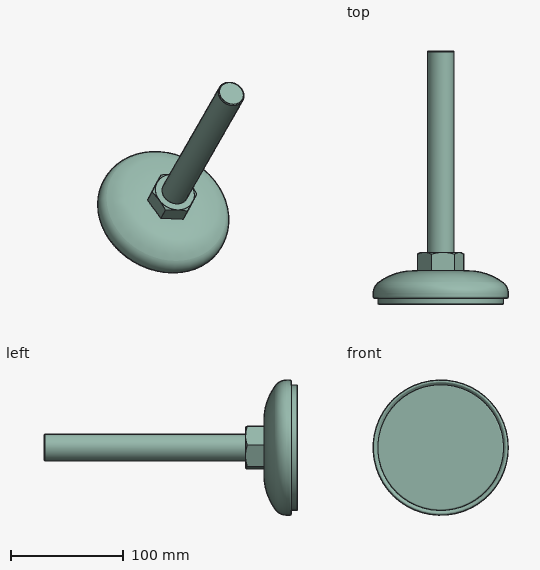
import cadquery as cq
import math


TOTAL_LENGTH = 225.0

PAD_RADIUS = 55.8
PAD_EDGE_FILLET = 1.1

BASE_RADIUS = 60.0
BASE_TOP = 30.0
RIM_TOP = 10.0
CROWN_FLAT_RADIUS = 24.0
CROWN_RADIUS = 52.0
LIP_BOTTOM = 5.5
LIP_RADIUS = 1.5
LIP_INNER_RADIUS = 57.5
LIP_CONE_ANGLE = 45.0

STUD_RADIUS = 12.0
STUD_TIP_CHAMFER = 1.0
HEX_ACROSS_FLATS = 36.0
HEX_HEIGHT = 16.2
HEX_TURN = 6.5
HEX_CHAMFER_ANGLE = 30.0

LIP_CENTER = (BASE_RADIUS - LIP_RADIUS, LIP_BOTTOM + LIP_RADIUS)
LIP_INNER_HEIGHT = LIP_CENTER[1] - math.sqrt(LIP_RADIUS**2 - (LIP_CENTER[0] - LIP_INNER_RADIUS) ** 2)
LIP_CONE_RISE = (LIP_INNER_RADIUS - PAD_RADIUS) * math.tan(math.radians(LIP_CONE_ANGLE))
PAD_THICKNESS = LIP_INNER_HEIGHT + LIP_CONE_RISE


def make_pad():
    disc = cq.Workplane("XZ").circle(PAD_RADIUS).extrude(-PAD_THICKNESS)
    return disc.faces("<Y").edges().fillet(PAD_EDGE_FILLET)


def point_on_arc(center, radius, angle):
    """Point of an arc, with the angle in radians from the radial direction."""
    return (center[0] + radius * math.cos(angle), center[1] + radius * math.sin(angle))


def make_base():
    crown_center = (CROWN_FLAT_RADIUS, BASE_TOP - CROWN_RADIUS)
    rim_offset = BASE_RADIUS - crown_center[0]
    rise = RIM_TOP - crown_center[1]
    shoulder_radius = (CROWN_RADIUS**2 - rim_offset**2 - rise**2) / (2 * (CROWN_RADIUS - rim_offset))
    shoulder_center = (BASE_RADIUS - shoulder_radius, RIM_TOP)
    tangent_angle = math.atan2(rise, rim_offset - shoulder_radius)

    shoulder_end = point_on_arc(shoulder_center, shoulder_radius, tangent_angle)
    shoulder_middle = point_on_arc(shoulder_center, shoulder_radius, tangent_angle / 2)
    crown_middle = point_on_arc(crown_center, CROWN_RADIUS, (tangent_angle + math.pi / 2) / 2)
    lip_middle = point_on_arc(LIP_CENTER, LIP_RADIUS, -math.pi / 4)

    profile = (
        cq.Workplane("XY")
        .moveTo(0, PAD_THICKNESS)
        .lineTo(PAD_RADIUS, PAD_THICKNESS)
        .lineTo(LIP_INNER_RADIUS, LIP_INNER_HEIGHT)
        .threePointArc(lip_middle, (BASE_RADIUS, LIP_CENTER[1]))
        .lineTo(BASE_RADIUS, RIM_TOP)
        .threePointArc(shoulder_middle, shoulder_end)
        .threePointArc(crown_middle, (CROWN_FLAT_RADIUS, BASE_TOP))
        .lineTo(0, BASE_TOP)
        .close()
    )
    return profile.revolve(360, (0, 0), (0, 1))


def make_hexagon():
    corner_radius = HEX_ACROSS_FLATS / 2 / math.cos(math.pi / 6)
    chamfer_radius = HEX_ACROSS_FLATS / 2
    chamfer_drop = (corner_radius - chamfer_radius) * math.tan(math.radians(HEX_CHAMFER_ANGLE))

    prism = (
        cq.Workplane("XZ")
        .polygon(6, 2 * corner_radius)
        .extrude(-HEX_HEIGHT)
        .rotate((0, 0, 0), (0, 1, 0), HEX_TURN)
    )
    envelope = (
        cq.Workplane("XY")
        .polyline([
            (0, 0),
            (corner_radius, 0),
            (corner_radius, HEX_HEIGHT - chamfer_drop),
            (chamfer_radius, HEX_HEIGHT),
            (0, HEX_HEIGHT),
        ])
        .close()
        .revolve(360, (0, 0), (0, 1))
    )
    return prism.intersect(envelope).translate((0, BASE_TOP, 0))


def make_stud():
    shaft = (
        cq.Workplane("XZ", origin=(0, BASE_TOP, 0))
        .circle(STUD_RADIUS)
        .extrude(-(TOTAL_LENGTH - BASE_TOP))
        .faces(">Y")
        .chamfer(STUD_TIP_CHAMFER)
    )
    return shaft.union(make_hexagon())


pad = make_pad()
base = make_base()
stud = make_stud()

result = cq.Compound.makeCompound([pad.val(), base.val(), stud.val()])